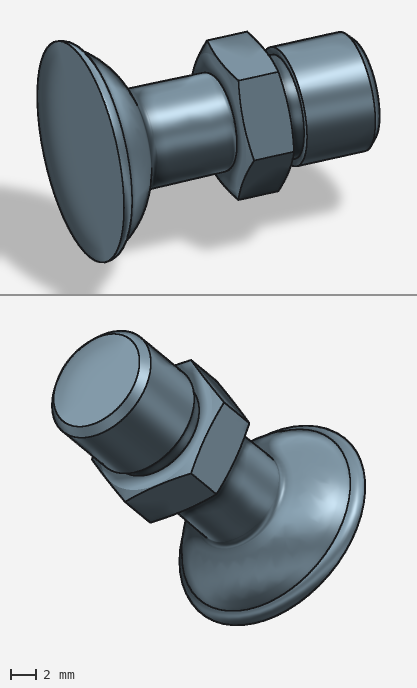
import cadquery as cq
import math

length = 24.0

thread_radius = 9.72 / 2
thread_chamfer = 0.65
thread_length = 6.53
neck_radius = 8.5 / 2
neck_length = 1.5

hex_across_flats = 11.23
hex_height = 4.0
hex_face_radius = 5.52
hex_chamfer_height = 0.3

stem_top_radius = 4.03
stem_base_radius = 4.1
stem_rounding = 0.5
stem_base_y = 4.95

cup_radius = 9.0
cup_top_radius = 4.5
cup_top_y = 4.25
cup_mid_radius = 6.67
cup_mid_y = 2.93
lip_top_radius = 8.25
lip_top_y = 1.0
lip_mid_radius = 8.74
lip_mid_y = 0.7
lip_edge_height = 0.1
root_mid_radius = 4.2
root_mid_y = 4.5

thread_start_y = length - thread_length
hex_top_y = thread_start_y - neck_length
hex_base_y = hex_top_y - hex_height
hex_corner_radius = hex_across_flats / 2 / math.cos(math.radians(30))


def make_cup_and_stem():
    stem_face_radius = stem_top_radius - stem_rounding
    rounding_inset = stem_rounding * (1 - math.cos(math.radians(45)))
    profile = (
        cq.Workplane("XY")
        .moveTo(0, 0)
        .lineTo(cup_radius, 0)
        .lineTo(cup_radius, lip_edge_height)
        .threePointArc((lip_mid_radius, lip_mid_y), (lip_top_radius, lip_top_y))
        .threePointArc((cup_mid_radius, cup_mid_y), (cup_top_radius, cup_top_y))
        .threePointArc((root_mid_radius, root_mid_y), (stem_base_radius, stem_base_y))
        .lineTo(stem_top_radius, hex_base_y - stem_rounding)
        .threePointArc(
            (stem_top_radius - rounding_inset, hex_base_y - rounding_inset),
            (stem_face_radius, hex_base_y),
        )
        .lineTo(0, hex_base_y)
        .close()
    )
    return profile.revolve(360, (0, 0, 0), (0, 1, 0))


def make_hexagon():
    prism = (
        cq.Workplane("XZ", origin=(0, hex_base_y, 0))
        .polygon(6, 2 * hex_corner_radius)
        .extrude(-hex_height)
    )
    blank = (
        cq.Workplane("XY")
        .polyline([
            (0, hex_base_y),
            (hex_face_radius, hex_base_y),
            (hex_corner_radius, hex_base_y + hex_chamfer_height),
            (hex_corner_radius, hex_top_y - hex_chamfer_height),
            (hex_face_radius, hex_top_y),
            (0, hex_top_y),
        ])
        .close()
        .revolve(360, (0, 0, 0), (0, 1, 0))
    )
    return prism.intersect(blank)


def make_threaded_end():
    neck = (
        cq.Workplane("XZ", origin=(0, hex_top_y, 0))
        .circle(neck_radius)
        .extrude(-neck_length)
    )
    thread = (
        cq.Workplane("XZ", origin=(0, thread_start_y, 0))
        .circle(thread_radius)
        .extrude(-thread_length)
        .faces(">Y")
        .chamfer(thread_chamfer)
    )
    return neck.union(thread)


result = make_cup_and_stem().union(make_hexagon()).union(make_threaded_end())